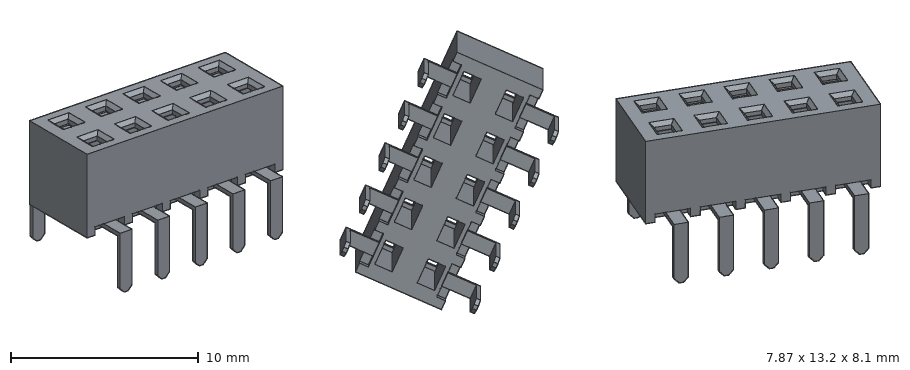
import cadquery as cq

pin_rows = 5
pitch = 2.53
housing_width = 5.03
housing_length = 13.2
housing_height = 5.0
overall_width = 7.87
overall_height = 8.1
leg_drop = overall_height - housing_height

hole_size = 0.96
lead_in = 0.22
mouth_size = hole_size + 2 * lead_in
hole_depth = 0.5

metal_thickness = 0.25
leg_width = 0.8
tip_width = 0.25
tip_height = 0.29
contact_top_gap = 0.25

cavity_length = 1.44
cavity_inner_clearance = 0.05

slot_length = 1.99
slot_height = 0.5

column_x = pitch / 2
contact_inner_x = column_x + hole_size / 2
contact_outer_x = contact_inner_x + metal_thickness
cavity_inner_x = column_x - hole_size / 2 - cavity_inner_clearance
side_x = housing_width / 2
leg_outer_x = overall_width / 2

cavity_top_z = housing_height - hole_depth


def box(x_min, x_max, length, z_min, z_max):
    """Block between two X and two Z limits, centred on Y = 0."""
    block = cq.Workplane("XY").box(x_max - x_min, length, z_max - z_min, centered=(False, True, False))
    return block.translate((x_min, 0, z_min))


def socket_opening():
    """Space of one socket: tapered mouth, square hole and wider cavity."""
    mouth = (
        cq.Workplane("XY", origin=(column_x, 0, housing_height - lead_in))
        .rect(hole_size, hole_size)
        .workplane(offset=lead_in)
        .rect(mouth_size, mouth_size)
        .loft(combine=True)
    )
    half_hole = hole_size / 2
    hole = box(column_x - half_hole, column_x + half_hole, hole_size, 0, housing_height - lead_in)
    cavity = box(cavity_inner_x, contact_outer_x, cavity_length, 0, cavity_top_z)
    return mouth.union(hole).union(cavity)


def leg_slot():
    """Relief in the bottom edge of the housing, from the side in to the contact."""
    return box(contact_outer_x, side_x, slot_length, 0, slot_height)


def contact():
    """Upright strip in the cavity, tail out through the slot and leg with a tapered tip."""
    strip = box(contact_inner_x, contact_outer_x, cavity_length, 0, cavity_top_z - contact_top_gap)
    tail = box(contact_inner_x, leg_outer_x, leg_width, slot_height - metal_thickness, slot_height)
    leg = (
        cq.Workplane("YZ", origin=(leg_outer_x - metal_thickness, 0, 0))
        .moveTo(-leg_width / 2, slot_height)
        .lineTo(leg_width / 2, slot_height)
        .lineTo(leg_width / 2, tip_height - leg_drop)
        .lineTo(tip_width / 2, -leg_drop)
        .lineTo(-tip_width / 2, -leg_drop)
        .lineTo(-leg_width / 2, tip_height - leg_drop)
        .close()
        .extrude(metal_thickness)
    )
    return strip.union(tail).union(leg)


def at_every_pin(shape):
    """Copies of a +X column shape along Y, mirrored into the -X column."""
    mirrored = shape.mirror("YZ")
    copies = cq.Workplane("XY")
    for row in range(pin_rows):
        y = (row - (pin_rows - 1) / 2) * pitch
        copies = copies.add(shape.translate((0, y, 0)))
        copies = copies.add(mirrored.translate((0, y, 0)))
    return copies.combine()


housing = box(-side_x, side_x, housing_length, 0, housing_height)
housing = housing.cut(at_every_pin(socket_opening())).cut(at_every_pin(leg_slot()))

result = housing.union(at_every_pin(contact()))